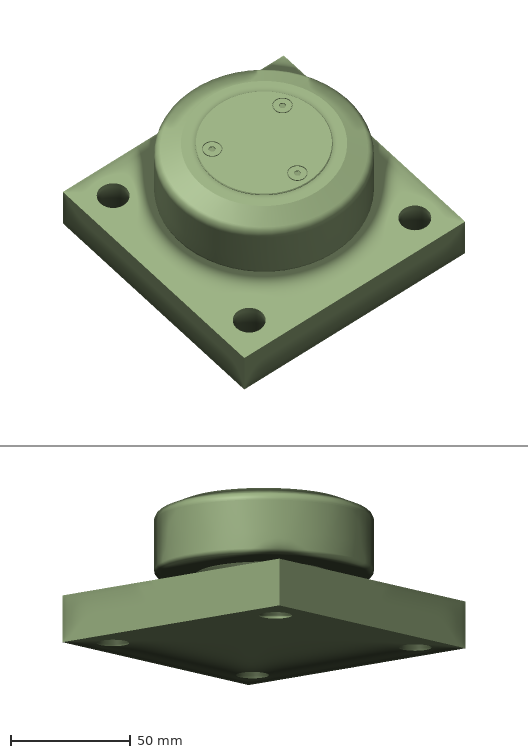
import cadquery as cq
import math

plate_side = 120.0
plate_thickness = 20.0
mount_hole_diameter = 13.8
mount_hole_spacing = 90.0

neck_diameter = 59.0
neck_height = 10.0
neck_chamfer = 0.6

roller_diameter = 92.4
crown_radius = 500.4
roller_height = 30.4
roller_face_diameter = 69.8
shoulder_angle = math.radians(22)
rim_radius = 4.0
lower_edge_radius = 2.2

cover_diameter = 57.8
cover_height = 0.6
cover_chamfer = 0.4
screw_count = 3
screw_circle_radius = 22.1
screw_recess_diameter = 8.6
screw_head_diameter = 7.8
screw_recess_depth = 0.5
socket_across_flats = 2.8
socket_depth = 0.5

roller_bottom = plate_thickness + neck_height
roller_top = roller_bottom + roller_height
cover_top = roller_top + cover_height


def base_plate():
    plate = cq.Workplane("XY").rect(plate_side, plate_side).extrude(plate_thickness)
    return (
        plate.faces(">Z").workplane()
        .rect(mount_hole_spacing, mount_hole_spacing, forConstruction=True)
        .vertices()
        .hole(mount_hole_diameter)
    )


def disc(diameter, bottom, height):
    return cq.Workplane("XY").workplane(offset=bottom).circle(diameter / 2).extrude(height)


def neck():
    column = disc(neck_diameter, plate_thickness, neck_height)
    return column.faces("<Z or >Z").edges().chamfer(neck_chamfer)


def roller():
    outer = roller_diameter / 2
    face = roller_face_diameter / 2
    arc_center_x = outer - rim_radius
    arc_start_x = arc_center_x + rim_radius * math.sin(shoulder_angle)
    arc_start_z = roller_top - (arc_start_x - face) * math.tan(shoulder_angle)
    arc_center_z = arc_start_z - rim_radius * math.cos(shoulder_angle)
    middle_angle = (math.pi / 2 - shoulder_angle) / 2
    arc_middle = (
        arc_center_x + rim_radius * math.cos(middle_angle),
        arc_center_z + rim_radius * math.sin(middle_angle),
    )
    crown_bottom = roller_bottom + lower_edge_radius
    crown_middle_z = (arc_center_z + crown_bottom) / 2
    half_crown = (arc_center_z - crown_bottom) / 2
    crown_rise = crown_radius - math.sqrt(crown_radius**2 - half_crown**2)
    lower_arc_middle = (
        outer - lower_edge_radius + lower_edge_radius * math.sqrt(0.5),
        crown_bottom - lower_edge_radius * math.sqrt(0.5),
    )
    profile = (
        cq.Workplane("XZ")
        .moveTo(0, roller_bottom)
        .lineTo(0, roller_top)
        .lineTo(face, roller_top)
        .lineTo(arc_start_x, arc_start_z)
        .threePointArc(arc_middle, (outer, arc_center_z))
        .threePointArc((outer + crown_rise, crown_middle_z), (outer, crown_bottom))
        .threePointArc(lower_arc_middle, (outer - lower_edge_radius, roller_bottom))
        .close()
    )
    return profile.revolve(360, (0, 0), (0, 1))


def cover():
    return disc(cover_diameter, roller_top, cover_height).faces(">Z").chamfer(cover_chamfer)


def screw_recesses():
    """Ring gaps around the screw heads, and the hexagonal sockets in the heads."""
    corner_diameter = socket_across_flats / math.cos(math.pi / 6)
    positions = cq.Workplane("XY").workplane(offset=cover_top).polarArray(
        screw_circle_radius, 0, 360, screw_count
    )
    gaps = (
        positions.circle(screw_recess_diameter / 2).extrude(-screw_recess_depth)
        .cut(positions.circle(screw_head_diameter / 2).extrude(-screw_recess_depth))
    )
    sockets = positions.polygon(6, corner_diameter).extrude(-socket_depth)
    return gaps.union(sockets)


result = (
    base_plate()
    .union(neck())
    .union(roller())
    .union(cover())
    .cut(screw_recesses())
)